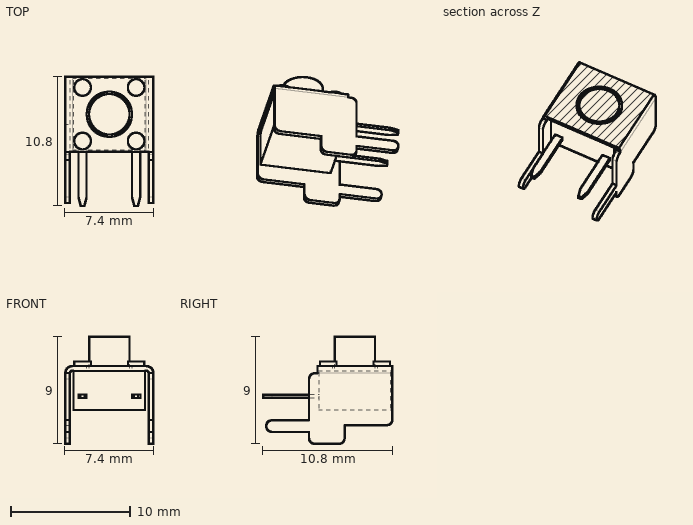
import cadquery as cq

cover_width = 7.4
cover_depth = 6.3
cover_top = 6.54
sheet = 0.4
bend_diameter = 1.2
bend_radius = bend_diameter / 2
inner_bend_radius = bend_radius - sheet
bend_bottom = cover_top - bend_radius

back_y = cover_depth / 2
wall_length = 7.01
step_length = 4.0
tail_reach = 10.6
wall_front = back_y - wall_length
wall_step = back_y - step_length
wall_step_height = 1.56
corner_radius = 0.5
tail_tip = back_y - tail_reach
tail_bottom = 1.0
tail_width = 1.0

body_size = 6.01
body_bottom = 2.83
body_top = cover_top - sheet
button_diameter = 3.4
button_top = 9.0
button_hole_diameter = 3.8
pip_diameter = 1.4
pip_top = 6.93
grid_offset = 2.25

pin_width = 0.7
pin_tip_width = 0.31
pin_bottom = 3.86
pin_thickness = 0.27
overall_depth = 10.85
pin_tip = back_y - overall_depth
pin_taper_length = 0.74


def cover_roof():
    """Flat top with a quarter-round bend along each side and a button hole."""
    width_between_bends = cover_width - 2 * bend_radius
    roof = cq.Workplane("XY").box(
        width_between_bends, cover_depth, sheet, centered=(True, True, False)
    ).translate((0, 0, body_top))
    for side in (-1, 1):
        bend_center = side * width_between_bends / 2
        bend = (
            cq.Workplane("XZ", origin=(bend_center, back_y, bend_bottom))
            .moveTo(0, bend_radius)
            .radiusArc((side * bend_radius, 0), side * bend_radius)
            .lineTo(side * inner_bend_radius, 0)
            .radiusArc((0, inner_bend_radius), -side * inner_bend_radius)
            .close()
            .extrude(cover_depth)
        )
        roof = roof.union(bend)
    hole = (
        cq.Workplane("XY", origin=(0, 0, body_top))
        .circle(button_hole_diameter / 2)
        .extrude(sheet)
    )
    return roof.cut(hole)


def side_wall(left_x):
    """Stepped vertical wall with a round-ended tail at the front."""
    plane = cq.Workplane("YZ", origin=(left_x, 0, 0))
    wall = (
        plane.moveTo(back_y, bend_bottom)
        .lineTo(back_y, wall_step_height)
        .lineTo(wall_step, wall_step_height)
        .lineTo(wall_step, 0)
        .lineTo(wall_front, 0)
        .lineTo(wall_front, bend_bottom)
        .close()
        .extrude(sheet)
    )
    rounded_corners = (
        (back_y, wall_step_height),
        (wall_step, 0),
        (wall_front, 0),
        (wall_front, bend_bottom),
    )
    for y, z in rounded_corners:
        corner = cq.selectors.NearestToPointSelector((left_x + sheet / 2, y, z))
        wall = wall.edges("|X").edges(corner).fillet(corner_radius)

    tail_radius = tail_width / 2
    arc_start = tail_tip + tail_radius
    tail_top = tail_bottom + tail_width
    tail = (
        plane.moveTo(wall_step, tail_bottom)
        .lineTo(arc_start, tail_bottom)
        .threePointArc((tail_tip, tail_bottom + tail_radius), (arc_start, tail_top))
        .lineTo(wall_step, tail_top)
        .close()
        .extrude(sheet)
    )
    return wall.union(tail)


def body():
    """Square housing carrying the button and four corner pips."""
    housing = cq.Workplane("XY").box(
        body_size, body_size, body_top - body_bottom, centered=(True, True, False)
    ).translate((0, 0, body_bottom))
    button = (
        cq.Workplane("XY", origin=(0, 0, body_bottom))
        .circle(button_diameter / 2)
        .extrude(button_top - body_bottom)
    )
    pips = (
        cq.Workplane("XY", origin=(0, 0, body_top))
        .rect(2 * grid_offset, 2 * grid_offset, forConstruction=True)
        .vertices()
        .circle(pip_diameter / 2)
        .extrude(pip_top - body_top)
    )
    return housing.union(button).union(pips)


def pin(center_x):
    """Flat contact with a tapered tip, rooted at the front of the housing."""
    root_y = -body_size / 2
    taper_y = pin_tip + pin_taper_length
    return (
        cq.Workplane("XY", origin=(center_x, 0, pin_bottom))
        .moveTo(-pin_width / 2, root_y)
        .lineTo(-pin_width / 2, taper_y)
        .lineTo(-pin_tip_width / 2, pin_tip)
        .lineTo(pin_tip_width / 2, pin_tip)
        .lineTo(pin_width / 2, taper_y)
        .lineTo(pin_width / 2, root_y)
        .close()
        .extrude(pin_thickness)
    )


result = cover_roof().union(body())
for wall_x in (-cover_width / 2, cover_width / 2 - sheet):
    result = result.union(side_wall(wall_x))
for pin_x in (-grid_offset, grid_offset):
    result = result.union(pin(pin_x))